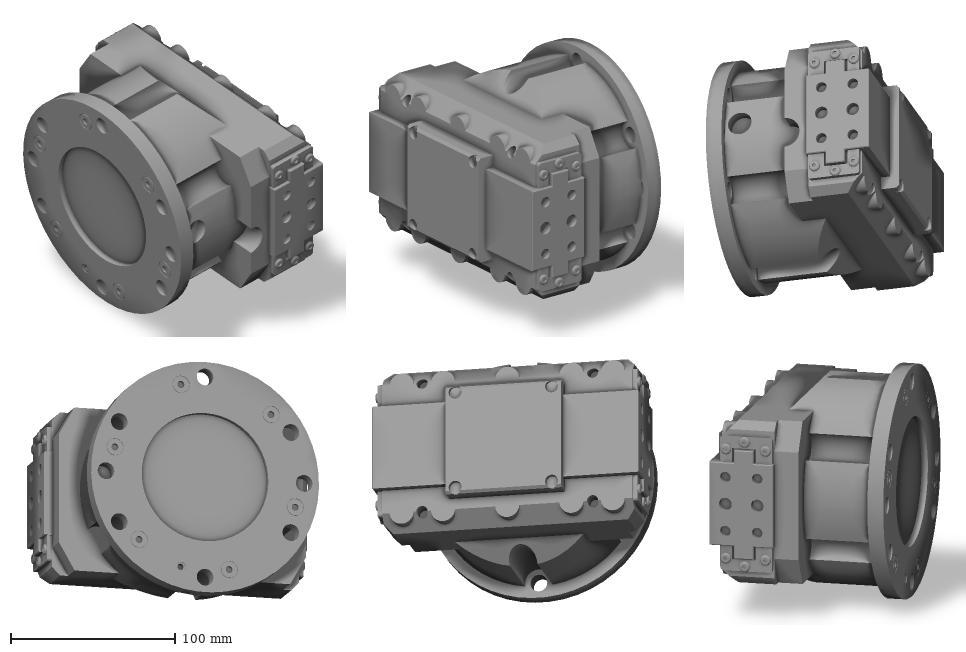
import cadquery as cq
import math

FLANGE_DIAMETER = 144.0
FLANGE_THICKNESS = 10.0
FLANGE_RECESS_DIAMETER = 80.0
FLANGE_RECESS_DEPTH = 4.0

NECK_RADIUS = 64.7

BLOCK_WIDTH = 156.0
BLOCK_HEIGHT = 102.0
LEG_FRONT = 51.6
SHOULDER = 66.7
BLOCK_BACK = 100.8
LEG_GAP = 80.0
BLOCK_CORNER = 5.0
BLOCK_BACK_CHAMFER = 10.3
LEG_CORNER_WIDTH = 10.0
LEG_CORNER_HEIGHT = LEG_CORNER_WIDTH * math.tan(math.radians(60))

MOUNT_RADIUS = 62.5
MOUNT_HOLE_DIAMETER = 10.5
MOUNT_ANGLES = (0, 30, 90, 150, 180, 210, 270, 330)
RELIEF_ANGLES = (30, 90, 150, 210, 270, 330)
RELIEF_DIAMETER = 17.3

SCREW_CIRCLE_RADIUS = 59.0
SCREW_COUNT = 6
SCREW_START_ANGLE = 45
SCREW_RING_OUTER = 11.0
SCREW_RING_INNER = 10.0
SCREW_RING_DEPTH = 0.5
SCREW_SOCKET_DIAMETER = 4.3
SCREW_SOCKET_DEPTH = 2.5
AIR_PORT_ANGLE = 255
AIR_PORT_DIAMETER = 6.0
AIR_PORT_BORE = 4.0
AIR_PORT_BORE_DEPTH = 5.0
AIR_PORT_SEAT_DEPTH = 0.8

PORT_OFFSET = 8.0
PORT_DIAMETER = 15.0
PORT_Y = 19.3
PORT_DEPTH = 10.0
CHANNEL_DIAMETER = 19.0

PIN_DIAMETER = 15.0
PIN_X = (-65.7, -40.0, 0, 40.0, 65.7)
PIN_Z = 40.3
REAR_HOLE_DIAMETER = 7.0
REAR_HOLE_X = 53.1
REAR_HOLE_Z = 40.8
REAR_HOLE_DEPTH = 10.0

COVER_WIDTH = 72.0
COVER_HEIGHT = 68.0
COVER_BACK = 112.0
COVER_EDGE = 1.7
COVER_SCREW_DIAMETER = 8.0
COVER_SCREW_DEPTH = 3.3
COVER_SCREW_X = 30.0
COVER_SCREW_Z = 30.2

WIPER_THICKNESS = 3.0
WIPER_HEIGHT = 84.0
WIPER_FRONT = 67.4
WIPER_BACK = 99.8
WIPER_CORNER = 1.7
WIPER_SLOT_FRONT = 77.5
WIPER_SLOT_BACK = 92.5
WIPER_SLOT_HEIGHT = 69.7
WIPER_SCREWS = ((71.5, 34.2), (84.7, 39.0), (96.5, 34.2))
BUTTON_DIAMETER = 6.6
BUTTON_HEIGHT = 1.5
BUTTON_ROUND = 1.3
BUTTON_SOCKET = 2.5
BUTTON_SOCKET_DEPTH = 1.2

JAW_REACH = 83.0
JAW_HEIGHT = 52.1
JAW_FRONT = 66.4
JAW_BACK = 106.4
JAW_EDGE = 0.5
TONGUE_FRONT = 78.8
TONGUE_BACK = 91.0
TONGUE_HEIGHT = 68.0
JAW_HOLE_Y = (76.4, 96.3)
JAW_SIDE_HOLE_Z = 17.0
JAW_SIDE_HOLE_DIAMETER = 6.6
JAW_CENTRE_HOLE_DIAMETER = 8.0


def box(x_range, y_range, z_range):
    """Box between the given limits."""
    lengths = [limits[1] - limits[0] for limits in (x_range, y_range, z_range)]
    corner = (x_range[0], y_range[0], z_range[0])
    return cq.Workplane("XY").box(*lengths, centered=False).translate(corner)


def centred_box(width, y_range, height):
    """Box symmetric about the Y axis."""
    return box((-width / 2, width / 2), y_range, (-height / 2, height / 2))


def cylinder_y(diameter, y_range, x=0.0, z=0.0):
    """Cylinder with its axis along Y."""
    start = cq.Vector(x, y_range[0], z)
    length = y_range[1] - y_range[0]
    return cq.Workplane(cq.Solid.makeCylinder(diameter / 2, length, start, cq.Vector(0, 1, 0)))


def cylinder_x(diameter, x_range, y, z):
    """Cylinder with its axis along X."""
    start = cq.Vector(x_range[0], y, z)
    length = x_range[1] - x_range[0]
    return cq.Workplane(cq.Solid.makeCylinder(diameter / 2, length, start, cq.Vector(1, 0, 0)))


def polar(radius, angle):
    """X and Z of a point around the Y axis."""
    return radius * math.cos(math.radians(angle)), radius * math.sin(math.radians(angle))


def make_flange():
    """Mounting disc with its recess, holes, flush screw outlines and air port."""
    flange = cylinder_y(FLANGE_DIAMETER, (0, FLANGE_THICKNESS))
    flange = flange.cut(cylinder_y(FLANGE_RECESS_DIAMETER, (0, FLANGE_RECESS_DEPTH)))
    for angle in MOUNT_ANGLES:
        place = polar(MOUNT_RADIUS, angle)
        flange = flange.cut(cylinder_y(MOUNT_HOLE_DIAMETER, (0, FLANGE_THICKNESS), *place))
    for index in range(SCREW_COUNT):
        place = polar(SCREW_CIRCLE_RADIUS, SCREW_START_ANGLE + index * 360 / SCREW_COUNT)
        ring = cylinder_y(SCREW_RING_OUTER, (0, SCREW_RING_DEPTH), *place)
        ring = ring.cut(cylinder_y(SCREW_RING_INNER, (0, SCREW_RING_DEPTH), *place))
        flange = flange.cut(ring).cut(cylinder_y(SCREW_SOCKET_DIAMETER, (0, SCREW_SOCKET_DEPTH), *place))
    place = polar(SCREW_CIRCLE_RADIUS, AIR_PORT_ANGLE)
    flange = flange.cut(cylinder_y(AIR_PORT_DIAMETER, (0, AIR_PORT_SEAT_DEPTH), *place))
    return flange.cut(cylinder_y(AIR_PORT_BORE, (0, AIR_PORT_BORE_DEPTH), *place))


def make_relief():
    """Round-bottomed slot behind a mounting hole, open outwards along +X."""
    y_range = (FLANGE_THICKNESS, SHOULDER)
    half = RELIEF_DIAMETER / 2
    mouth = box((MOUNT_RADIUS, FLANGE_DIAMETER / 2), y_range, (-half, half))
    return cylinder_y(RELIEF_DIAMETER, y_range, MOUNT_RADIUS).union(mouth)


def make_neck():
    """Round neck with 45-degree flats that run down to the top and bottom of the block."""
    neck = cylinder_y(2 * NECK_RADIUS, (FLANGE_THICKNESS, SHOULDER))
    half = BLOCK_HEIGHT / 2
    length = SHOULDER - FLANGE_THICKNESS
    envelope = (
        cq.Workplane("YZ")
        .polyline([
            (FLANGE_THICKNESS, -half - length),
            (SHOULDER, -half),
            (SHOULDER, half),
            (FLANGE_THICKNESS, half + length),
        ])
        .close()
        .extrude(2 * NECK_RADIUS, both=True)
    )
    neck = neck.intersect(envelope)
    for angle in RELIEF_ANGLES:
        neck = neck.cut(make_relief().rotate((0, 0, 0), (0, 1, 0), -angle))
    return neck.cut(cylinder_x(PORT_DIAMETER, (NECK_RADIUS - PORT_DEPTH, NECK_RADIUS), PORT_Y, PORT_OFFSET))


def make_block():
    """Block with chamfered corners, sloped rear edges, and the pins and holes on those slopes."""
    block = centred_box(BLOCK_WIDTH, (SHOULDER, BLOCK_BACK), BLOCK_HEIGHT).edges("|Y").chamfer(BLOCK_CORNER)
    half = BLOCK_HEIGHT / 2
    for side in (-1, 1):
        wedge = (
            cq.Workplane("YZ")
            .moveTo(BLOCK_BACK, side * half)
            .lineTo(BLOCK_BACK - BLOCK_BACK_CHAMFER, side * half)
            .lineTo(BLOCK_BACK, side * (half - BLOCK_BACK_CHAMFER))
            .close()
            .extrude(BLOCK_WIDTH / 2, both=True)
        )
        block = block.cut(wedge)
        for x in PIN_X:
            block = block.union(cylinder_y(PIN_DIAMETER, (SHOULDER, BLOCK_BACK), x, side * PIN_Z))
        hole_range = (BLOCK_BACK - REAR_HOLE_DEPTH, BLOCK_BACK)
        for x in (-REAR_HOLE_X, REAR_HOLE_X):
            block = block.cut(cylinder_y(REAR_HOLE_DIAMETER, hole_range, x, side * REAR_HOLE_Z))
    return block


def make_legs():
    """Two legs beside the neck, with steep corner chamfers."""
    half_width = BLOCK_WIDTH / 2
    half_height = BLOCK_HEIGHT / 2
    outline = [
        (LEG_GAP / 2, half_height),
        (half_width - LEG_CORNER_WIDTH, half_height),
        (half_width, half_height - LEG_CORNER_HEIGHT),
        (half_width, LEG_CORNER_HEIGHT - half_height),
        (half_width - LEG_CORNER_WIDTH, -half_height),
        (LEG_GAP / 2, -half_height),
    ]
    leg = cq.Workplane("XZ", origin=(0, LEG_FRONT, 0)).polyline(outline).close().extrude(LEG_FRONT - SHOULDER)
    channel = cylinder_x(CHANNEL_DIAMETER, (LEG_GAP / 2, half_width), LEG_FRONT, -PORT_OFFSET)
    return leg.cut(channel).union(leg.mirror("YZ"))


def make_cover():
    """Rear cover with screw recesses that break through its long edges."""
    cover = centred_box(COVER_WIDTH, (BLOCK_BACK, COVER_BACK), COVER_HEIGHT)
    cover = cover.faces(">Y").edges("|X").chamfer(COVER_EDGE)
    screw_range = (COVER_BACK - COVER_SCREW_DEPTH, COVER_BACK)
    for x in (-COVER_SCREW_X, COVER_SCREW_X):
        for z in (-COVER_SCREW_Z, COVER_SCREW_Z):
            cover = cover.cut(cylinder_y(COVER_SCREW_DIAMETER, screw_range, x, z))
    return cover


def make_wiper():
    """Wiper on the +X side: a plate above and below the jaw, slotted for its tongue, with button screws."""
    inner = BLOCK_WIDTH / 2
    outer = inner + WIPER_THICKNESS
    half = WIPER_HEIGHT / 2
    wiper = box((inner, outer), (WIPER_FRONT, WIPER_BACK), (-half, half)).edges("|X").fillet(WIPER_CORNER)
    wiper = wiper.cut(centred_box(2 * outer, (WIPER_FRONT, WIPER_BACK), JAW_HEIGHT))
    wiper = wiper.cut(centred_box(2 * outer, (WIPER_SLOT_FRONT, WIPER_SLOT_BACK), WIPER_SLOT_HEIGHT))
    top = outer + BUTTON_HEIGHT
    for y, offset in WIPER_SCREWS:
        for z in (-offset, offset):
            button = cylinder_x(BUTTON_DIAMETER, (outer, top), y, z).faces(">X").edges().fillet(BUTTON_ROUND)
            button = button.cut(cylinder_x(BUTTON_SOCKET, (top - BUTTON_SOCKET_DEPTH, top), y, z))
            wiper = wiper.union(button)
    return wiper


def make_housing():
    """Flange, neck, legs, block, cover and both wipers as one solid."""
    housing = make_flange().union(make_neck()).union(make_legs()).union(make_block()).union(make_cover())
    wiper = make_wiper()
    return housing.union(wiper).union(wiper.mirror("YZ"))


def make_jaw():
    """Jaw on the +X side: a drilled T-shaped end plate and a bar along the back of the block."""
    inner = BLOCK_WIDTH / 2
    half = JAW_HEIGHT / 2
    plate = box((inner, JAW_REACH), (JAW_FRONT, JAW_BACK), (-half, half))
    tongue_half = TONGUE_HEIGHT / 2
    tongue = box((inner, JAW_REACH), (TONGUE_FRONT, TONGUE_BACK), (-tongue_half, tongue_half))
    plate = plate.union(tongue)
    plate = plate.faces(">X").edges().chamfer(JAW_EDGE)
    for y in JAW_HOLE_Y:
        plate = plate.cut(cylinder_x(JAW_CENTRE_HOLE_DIAMETER, (inner, JAW_REACH), y, 0))
        for z in (-JAW_SIDE_HOLE_Z, JAW_SIDE_HOLE_Z):
            plate = plate.cut(cylinder_x(JAW_SIDE_HOLE_DIAMETER, (inner, JAW_REACH), y, z))
    return plate.union(box((COVER_WIDTH / 2, inner), (BLOCK_BACK, JAW_BACK), (-half, half)))


housing = make_housing()
right_jaw = make_jaw()
jaws = [right_jaw, right_jaw.mirror("YZ")]

result = cq.Compound.makeCompound([housing.val(), *[jaw.val() for jaw in jaws]])